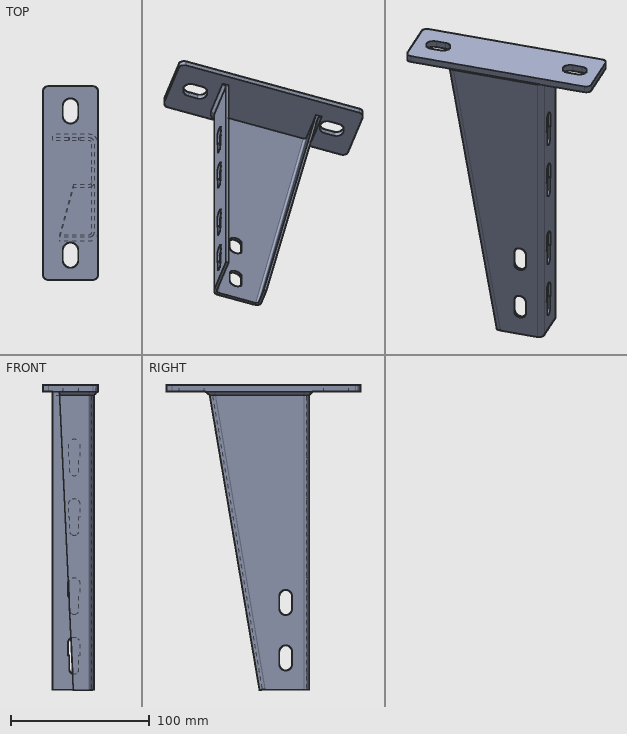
import cadquery as cq
import math

PLATE_WIDTH = 40.0
PLATE_LENGTH = 140.0
PLATE_THICKNESS = 5.0
PLATE_CORNER_RADIUS = 4.0
PLATE_SLOT_LENGTH = 18.0
PLATE_SLOT_WIDTH = 11.0
PLATE_SLOT_SPACING = 104.0

SHEET = 2.0
BEND_INNER_RADIUS = 2.0
BEND_OUTER_RADIUS = BEND_INNER_RADIUS + SHEET
WEB_OUTER_X = 17.0
FLANGE_WIDTH = 30.0
FLANGE_EDGE_X = WEB_OUTER_X - FLANGE_WIDTH
UPRIGHT_OUTER_Y = 33.0
TOP_DEPTH = 72.3
BOTTOM_DEPTH = 36.0
ARM_TOP_Z = -PLATE_THICKNESS
ARM_BOTTOM_Z = -220.0
ARM_HEIGHT = ARM_TOP_Z - ARM_BOTTOM_Z
LEAN_DROP = 0.36
LEAN_TOP_WIDTH = 25.0
LEAN_BOTTOM_WIDTH = 15.0

LEAN_ANGLE = math.atan2(TOP_DEPTH - BOTTOM_DEPTH, ARM_HEIGHT)
LEAN_TOP_Y = UPRIGHT_OUTER_Y - TOP_DEPTH
LEAN_BOTTOM_Y = UPRIGHT_OUTER_Y - BOTTOM_DEPTH
LEAN_TOP_EDGE_X = WEB_OUTER_X - LEAN_TOP_WIDTH
LEAN_EDGE_SLOPE = (LEAN_TOP_WIDTH - LEAN_BOTTOM_WIDTH) / ARM_HEIGHT

WEB_SLOT_LENGTH = 18.0
WEB_SLOT_WIDTH = 9.0
WEB_SLOT_Y = 16.0
WEB_SLOT_CENTRES_Z = (-157.0, -197.0)

KEYHOLE_X = 2.5
KEYHOLE_LENGTH = 26.5
KEYHOLE_WIDE = 8.5
KEYHOLE_NARROW = 6.5
KEYHOLE_TOPS_Z = (-39.0, -82.0, -139.0, -182.0)

WELD = 2.5

OVERSIZE = 50.0


def make_plate():
    plate = (
        cq.Workplane("XY")
        .box(PLATE_WIDTH, PLATE_LENGTH, PLATE_THICKNESS, centered=(True, True, False))
        .translate((0, 0, -PLATE_THICKNESS))
        .edges("|Z")
        .fillet(PLATE_CORNER_RADIUS)
    )
    return (
        plate.faces(">Z")
        .workplane(origin=(0, 0, 0))
        .rarray(1, PLATE_SLOT_SPACING, 1, 2)
        .slot2D(PLATE_SLOT_LENGTH, PLATE_SLOT_WIDTH, 90)
        .cutThruAll()
    )


def angle_section(plane, length):
    """Flange and bend, drawn with local x along X and local y pointing out of the flange."""
    bend_x = WEB_OUTER_X - BEND_OUTER_RADIUS
    bend_y = -BEND_OUTER_RADIUS
    diagonal = math.sqrt(0.5)
    return (
        cq.Workplane(plane)
        .moveTo(FLANGE_EDGE_X, 0)
        .lineTo(bend_x, 0)
        .threePointArc(
            (bend_x + BEND_OUTER_RADIUS * diagonal, bend_y + BEND_OUTER_RADIUS * diagonal),
            (WEB_OUTER_X, bend_y),
        )
        .lineTo(WEB_OUTER_X - SHEET, bend_y)
        .threePointArc(
            (bend_x + BEND_INNER_RADIUS * diagonal, bend_y + BEND_INNER_RADIUS * diagonal),
            (bend_x, -SHEET),
        )
        .lineTo(FLANGE_EDGE_X, -SHEET)
        .close()
        .extrude(length)
    )


def make_upright_flange():
    plane = cq.Plane(origin=(0, UPRIGHT_OUTER_Y, ARM_BOTTOM_Z), xDir=(1, 0, 0), normal=(0, 0, 1))
    return angle_section(plane, ARM_HEIGHT)


def lean_edge_outline():
    """Outline in X and Z that trims the leaning flange to its tapered free edge."""
    low_z = ARM_BOTTOM_Z - OVERSIZE
    low_edge_x = LEAN_TOP_EDGE_X + LEAN_EDGE_SLOPE * (ARM_TOP_Z - low_z)
    return [
        (low_edge_x, low_z),
        (LEAN_TOP_EDGE_X, ARM_TOP_Z),
        (WEB_OUTER_X + OVERSIZE, ARM_TOP_Z),
        (WEB_OUTER_X + OVERSIZE, low_z),
    ]


def make_leaning_flange():
    sin_a = math.sin(LEAN_ANGLE)
    cos_a = math.cos(LEAN_ANGLE)
    end_z = ARM_BOTTOM_Z - LEAN_DROP
    end_y = LEAN_BOTTOM_Y + LEAN_DROP * math.tan(LEAN_ANGLE)
    plane = cq.Plane(origin=(0, end_y, end_z), xDir=(1, 0, 0), normal=(0, sin_a, -cos_a))
    section = angle_section(plane, -(ARM_HEIGHT + OVERSIZE))
    keep = (
        cq.Workplane("XZ")
        .polyline(lean_edge_outline())
        .close()
        .extrude(PLATE_LENGTH, both=True)
    )
    return section.intersect(keep)


def make_web():
    lean_inset = BEND_OUTER_RADIUS / math.cos(LEAN_ANGLE)
    back_y = UPRIGHT_OUTER_Y - BEND_OUTER_RADIUS
    return (
        cq.Workplane("YZ", origin=(WEB_OUTER_X - SHEET, 0, 0))
        .polyline([
            (back_y, ARM_BOTTOM_Z),
            (back_y, ARM_TOP_Z),
            (LEAN_TOP_Y + lean_inset, ARM_TOP_Z),
            (LEAN_BOTTOM_Y + lean_inset, ARM_BOTTOM_Z),
        ])
        .close()
        .extrude(SHEET)
    )


def make_web_slots():
    return (
        cq.Workplane("YZ", origin=(WEB_OUTER_X - BEND_OUTER_RADIUS, 0, 0))
        .pushPoints([(WEB_SLOT_Y, z) for z in WEB_SLOT_CENTRES_Z])
        .slot2D(WEB_SLOT_LENGTH, WEB_SLOT_WIDTH, 90)
        .extrude(2 * BEND_OUTER_RADIUS)
    )


def make_keyhole(top_z):
    wide_r = KEYHOLE_WIDE / 2
    narrow_r = KEYHOLE_NARROW / 2
    step_z = top_z - KEYHOLE_LENGTH / 2
    bottom_z = top_z - KEYHOLE_LENGTH
    return (
        cq.Workplane("XZ", origin=(KEYHOLE_X, UPRIGHT_OUTER_Y + SHEET, 0))
        .moveTo(-wide_r, step_z)
        .lineTo(-wide_r, top_z - wide_r)
        .threePointArc((0, top_z), (wide_r, top_z - wide_r))
        .lineTo(wide_r, step_z)
        .lineTo(narrow_r, step_z)
        .lineTo(narrow_r, bottom_z + narrow_r)
        .threePointArc((0, bottom_z), (-narrow_r, bottom_z + narrow_r))
        .lineTo(-narrow_r, step_z)
        .close()
        .extrude(3 * SHEET)
    )


def arm_outline(z, offset):
    """Closed outline through the outer faces of the arm at height z, grown outwards by offset."""
    below_top = ARM_TOP_Z - z
    lean_y = LEAN_TOP_Y + below_top * math.tan(LEAN_ANGLE) - offset
    lean_edge_x = LEAN_TOP_EDGE_X + below_top * LEAN_EDGE_SLOPE
    upright_y = UPRIGHT_OUTER_Y + offset
    web_x = WEB_OUTER_X + offset
    radius = BEND_OUTER_RADIUS + offset
    bend_x = web_x - radius
    diagonal = radius * math.sqrt(0.5)
    return (
        cq.Workplane("XY", origin=(0, 0, z))
        .moveTo(FLANGE_EDGE_X, upright_y)
        .lineTo(bend_x, upright_y)
        .threePointArc(
            (bend_x + diagonal, upright_y - radius + diagonal),
            (web_x, upright_y - radius),
        )
        .lineTo(web_x, lean_y + radius)
        .threePointArc(
            (bend_x + diagonal, lean_y + radius - diagonal),
            (bend_x, lean_y),
        )
        .lineTo(lean_edge_x, lean_y)
        .lineTo(lean_edge_x, 0)
        .lineTo(FLANGE_EDGE_X, 0)
        .close()
        .val()
    )


def arm_envelope(top_offset, bottom_offset):
    """Filled arm shape over the height of the weld bead."""
    top = arm_outline(ARM_TOP_Z, top_offset)
    bottom = arm_outline(ARM_TOP_Z - WELD, bottom_offset)
    return cq.Workplane(obj=cq.Solid.makeLoft([bottom, top], True))


def make_weld():
    return arm_envelope(WELD, 0).cut(arm_envelope(-SHEET / 2, -SHEET / 2))


def make_arm():
    arm = make_web().union(make_upright_flange()).union(make_leaning_flange())
    arm = arm.cut(make_web_slots())
    for top_z in KEYHOLE_TOPS_Z:
        arm = arm.cut(make_keyhole(top_z))
    return arm.union(make_weld())


plate = make_plate()
arm = make_arm()
result = cq.Compound.makeCompound([plate.val(), arm.val()])